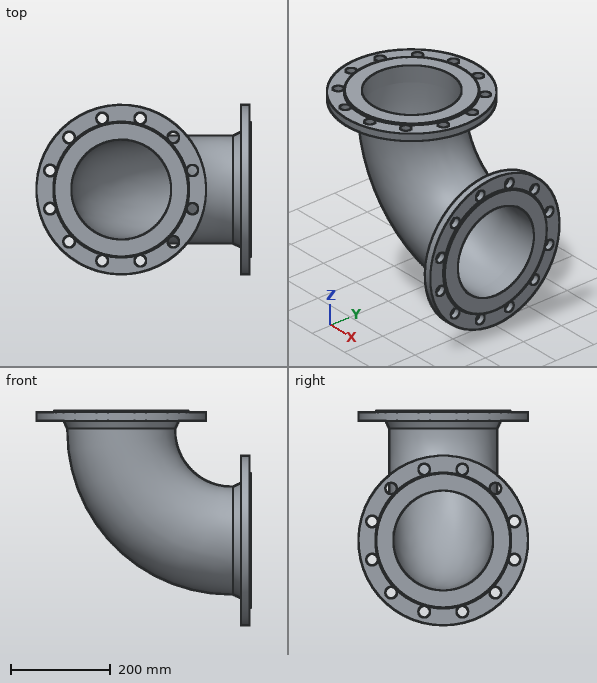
import cadquery as cq

flange_diameter = 340.0
overall_length = 430.0
face_distance = overall_length - flange_diameter / 2
raised_face_diameter = 268.0
raised_face_base_diameter = 272.0
raised_face_height = 3.0
flange_thickness = 17.0
hub_diameter = 231.5
hub_length = 16.0
collar_length = 4.0
pipe_diameter = 216.7
bore_diameter = 200.0
bolt_circle_diameter = 295.0
bolt_hole_diameter = 23.0
bolt_count = 12
first_bolt_angle = 180 / bolt_count

flange_back = face_distance - raised_face_height - flange_thickness
hub_end = flange_back - hub_length
bend_radius = hub_end - collar_length


def make_flange():
    """Weld-neck flange on the Z axis, from the bend end up to its raised face."""
    pipe_radius = pipe_diameter / 2
    flange_radius = flange_diameter / 2
    raised_radius = raised_face_diameter / 2
    raised_base_radius = raised_face_base_diameter / 2
    flange_front = flange_back + flange_thickness
    profile = [
        (0, bend_radius),
        (pipe_radius, bend_radius),
        (pipe_radius, hub_end),
        (hub_diameter / 2, flange_back),
        (flange_radius, flange_back),
        (flange_radius, flange_front),
        (raised_base_radius, flange_front),
        (raised_radius, face_distance),
        (0, face_distance),
    ]
    body = cq.Workplane("XZ").polyline(profile).close().revolve(360, (0, 0, 0), (0, 1, 0))
    bolt_holes = (
        cq.Workplane("XY", origin=(0, 0, flange_back))
        .polarArray(bolt_circle_diameter / 2, first_bolt_angle, 360, bolt_count)
        .circle(bolt_hole_diameter / 2)
        .extrude(flange_thickness)
    )
    bore = (
        cq.Workplane("XY", origin=(0, 0, bend_radius))
        .circle(bore_diameter / 2)
        .extrude(face_distance - bend_radius)
    )
    return body.cut(bolt_holes).cut(bore)


def make_bend():
    """Quarter-turn pipe from the upward axis (+Z) to the sideways axis (+X)."""
    return (
        cq.Workplane("XY", origin=(0, 0, bend_radius))
        .circle(pipe_diameter / 2)
        .circle(bore_diameter / 2)
        .revolve(90, (bend_radius, 0, 0), (bend_radius, -1, 0))
    )


top_flange = make_flange()
side_flange = make_flange().rotate((0, 0, 0), (0, 1, 0), 90)
result = make_bend().union(top_flange).union(side_flange)